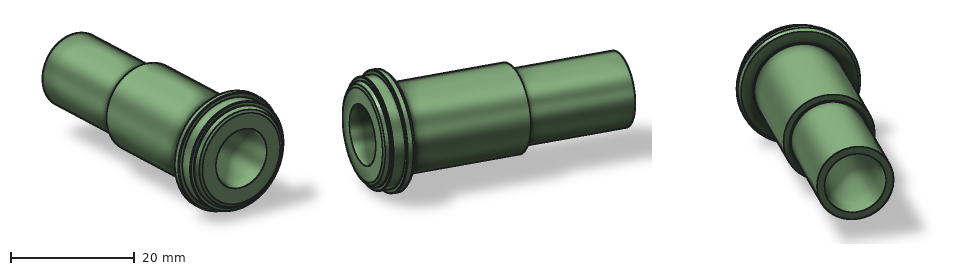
import cadquery as cq

total_length = 45.5
bore_radius = 10.2 / 2
tube_radius = 12.7 / 2
body_radius = 15.1 / 2
flange_radius = 20.3 / 2
ring_radius = 18.8 / 2

body_start = 19.1
flange_start = 40.65
flange_end = 42.22
ring_end = 44.4

root_cone = 0.2
flange_front_chamfer_length = 0.5
flange_front_chamfer_height = 0.45
edge_break = 0.15

nose_base_radius = 8.75
nose_land_length = 0.25
nose_shoulder_radius = 8.3
nose_tip_radius = 7.8
nose_tip_length = 0.25
nose_shoulder = total_length - nose_tip_length

outer_profile = [
    (0, tube_radius),
    (body_start - root_cone, tube_radius),
    (body_start, tube_radius + root_cone),
    (body_start, body_radius),
    (flange_start - root_cone, body_radius),
    (flange_start, body_radius + root_cone),
    (flange_start, flange_radius - flange_front_chamfer_height),
    (flange_start + flange_front_chamfer_length, flange_radius),
    (flange_end - edge_break, flange_radius),
    (flange_end, flange_radius - edge_break),
    (flange_end, ring_radius),
    (ring_end - edge_break, ring_radius),
    (ring_end, ring_radius - edge_break),
    (ring_end, nose_base_radius),
    (ring_end + nose_land_length, nose_base_radius),
    (nose_shoulder, nose_shoulder_radius),
    (total_length, nose_tip_radius),
]
bore_profile = [(total_length, bore_radius), (0, bore_radius)]

result = (
    cq.Workplane("XY")
    .polyline(outer_profile + bore_profile)
    .close()
    .revolve(360, (0, 0, 0), (1, 0, 0))
)